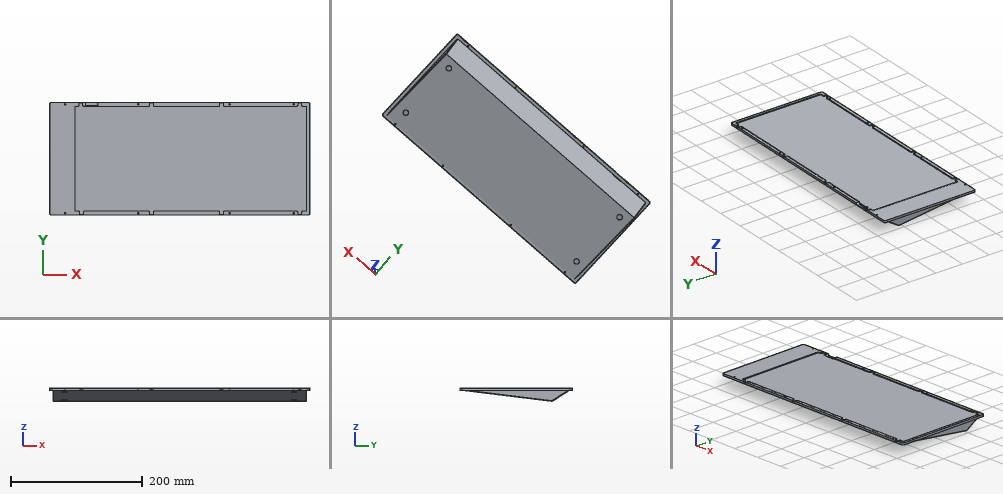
import cadquery as cq
import math

PLATE_LENGTH = 395.88
PLATE_WIDTH = 171.43
PLATE_THICKNESS = 3.6
PLATE_CORNER_RADIUS = 2.2
LEFT = -PLATE_LENGTH / 2
BACK = PLATE_WIDTH / 2

POCKET_DEPTH = 1.5
POCKET_LEFT_MARGIN = 38.3
POCKET_RIGHT_MARGIN = 4.8
POCKET_SIDE_MARGIN = 5.9
POCKET_LEFT = LEFT + POCKET_LEFT_MARGIN
POCKET_LENGTH = PLATE_LENGTH - POCKET_LEFT_MARGIN - POCKET_RIGHT_MARGIN
POCKET_WIDTH = PLATE_WIDTH - 2 * POCKET_SIDE_MARGIN

TOTAL_HEIGHT = 20.25
WEDGE_INSET = 4.9
WEDGE_RIDGE_INSET = 31.0
WEDGE_LENGTH = PLATE_LENGTH - 2 * WEDGE_INSET
WEDGE_EDGE_CHAMFER = 1.0
WEDGE_FRONT_Y = -BACK + WEDGE_INSET
WEDGE_RIDGE_Y = BACK - WEDGE_RIDGE_INSET
WEDGE_SLOPE = math.atan2(TOTAL_HEIGHT - PLATE_THICKNESS, WEDGE_RIDGE_Y - WEDGE_FRONT_Y)


FRONT_CLIP_OFFSETS = (48.5, 155.0, 261.5, 380.4)
BACK_CLIP_OFFSETS = (47.3, 155.0, 261.5, 380.4)
CLIP_WIDTH = 5.6
CLIP_MOUTH_RADIUS = 1.0
CLIP_WALL = 1.2
CLIP_WINDOW_WIDTH = 2.6
CLIP_WINDOW_HEIGHT = 0.8
CLIP_WINDOW_TOP = 0.6

SCREW_DIAMETER = 1.62
SCREW_OFFSETS = (23.4, 134.7, 273.7, 371.3)
SCREW_EDGE_MARGIN = 3.0

CHANNEL_START = 54.2
CHANNEL_END = 73.2
CHANNEL_DEPTH = 2.7
CHANNEL_END_RUN = 3.5

FOOT_DIAMETER = 8.5
FOOT_DEPTH = 1.0
FOOT_LEFT_MARGIN = 22.4
FOOT_RIGHT_MARGIN = 24.0
FOOT_Y_POSITIONS = (-57.8, 40.0)


def plate():
    blank = cq.Workplane("XY").box(PLATE_LENGTH, PLATE_WIDTH, PLATE_THICKNESS, centered=(True, True, False))
    return blank.translate((0, 0, -PLATE_THICKNESS)).edges("|Z").fillet(PLATE_CORNER_RADIUS)


def wedge():
    """Triangular prism under the plate, chamfered where its slopes meet the end faces."""
    body = (
        cq.Workplane("YZ")
        .moveTo(WEDGE_FRONT_Y, -PLATE_THICKNESS)
        .lineTo(WEDGE_RIDGE_Y, -TOTAL_HEIGHT)
        .lineTo(BACK - WEDGE_INSET, -PLATE_THICKNESS)
        .close()
        .extrude(WEDGE_LENGTH / 2, both=True)
    )
    return body.faces("<X or >X").edges("not(#Z and |Y)").chamfer(WEDGE_EDGE_CHAMFER)


def pocket():
    return (
        cq.Workplane("XY", origin=(POCKET_LEFT, 0, -POCKET_DEPTH))
        .box(POCKET_LENGTH, POCKET_WIDTH, POCKET_DEPTH, centered=(False, True, False))
    )


def clip_notch(offset, side):
    """Notch in the front (side = -1) or back (side = 1) wall, with its window."""
    x = LEFT + offset
    end_y = side * (BACK - CLIP_WALL)
    mouth_y = side * POCKET_WIDTH / 2
    shoulder_y = mouth_y + side * CLIP_MOUTH_RADIUS
    half_width = CLIP_WIDTH / 2
    mouth_half_width = half_width + CLIP_MOUTH_RADIUS
    notch = (
        cq.Workplane("XY")
        .moveTo(x - mouth_half_width, mouth_y)
        .radiusArc((x - half_width, shoulder_y), side * CLIP_MOUTH_RADIUS)
        .lineTo(x - half_width, end_y)
        .lineTo(x + half_width, end_y)
        .lineTo(x + half_width, shoulder_y)
        .radiusArc((x + mouth_half_width, mouth_y), side * CLIP_MOUTH_RADIUS)
        .close()
        .extrude(-POCKET_DEPTH)
    )
    window_z = -CLIP_WINDOW_TOP - CLIP_WINDOW_HEIGHT / 2
    window = (
        cq.Workplane("XY", origin=(x, side * (BACK - CLIP_WALL / 2), window_z))
        .box(CLIP_WINDOW_WIDTH, CLIP_WALL, CLIP_WINDOW_HEIGHT)
    )
    return notch.union(window)


def screw_holes():
    hole_y = BACK - SCREW_EDGE_MARGIN
    centres = [(LEFT + offset, side * hole_y) for offset in SCREW_OFFSETS for side in (-1, 1)]
    return cq.Workplane("XY").pushPoints(centres).circle(SCREW_DIAMETER / 2).extrude(-PLATE_THICKNESS)


def cable_channel():
    start = LEFT + CHANNEL_START
    end = LEFT + CHANNEL_END
    radius = (CHANNEL_END_RUN**2 + CHANNEL_DEPTH**2) / (2 * CHANNEL_DEPTH)
    half_angle = math.asin(CHANNEL_END_RUN / radius) / 2
    mid_run = CHANNEL_END_RUN - radius * math.sin(half_angle)
    mid_z = -CHANNEL_DEPTH + radius * (1 - math.cos(half_angle))
    return (
        cq.Workplane("XZ", origin=(0, BACK, 0))
        .moveTo(start, 0)
        .threePointArc((start + mid_run, mid_z), (start + CHANNEL_END_RUN, -CHANNEL_DEPTH))
        .lineTo(end - CHANNEL_END_RUN, -CHANNEL_DEPTH)
        .threePointArc((end - mid_run, mid_z), (end, 0))
        .close()
        .extrude(POCKET_SIDE_MARGIN)
    )


def foot_recess(x, y):
    """Round recess sunk square to the sloping underside."""
    z = -PLATE_THICKNESS - (y - WEDGE_FRONT_Y) * math.tan(WEDGE_SLOPE)
    inward = cq.Vector(0, math.sin(WEDGE_SLOPE), math.cos(WEDGE_SLOPE))
    return cq.Solid.makeCylinder(FOOT_DIAMETER / 2, FOOT_DEPTH, cq.Vector(x, y, z), inward)


result = plate().union(wedge()).cut(pocket()).cut(screw_holes()).cut(cable_channel())

for front_offset in FRONT_CLIP_OFFSETS:
    result = result.cut(clip_notch(front_offset, -1))
for back_offset in BACK_CLIP_OFFSETS:
    result = result.cut(clip_notch(back_offset, 1))

for foot_x in (LEFT + FOOT_LEFT_MARGIN, PLATE_LENGTH / 2 - FOOT_RIGHT_MARGIN):
    for foot_y in FOOT_Y_POSITIONS:
        result = result.cut(foot_recess(foot_x, foot_y))